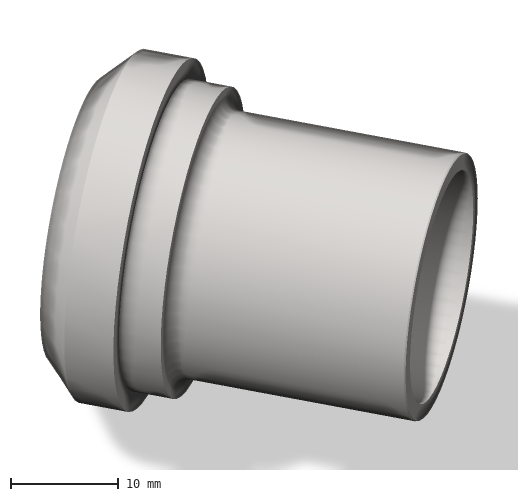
import cadquery as cq

length = 34.92
flange_end = 7.93
collar_end = 11.95

nose_diameter = 27.03
flange_diameter = 33.42
collar_diameter = 29.5
tube_diameter = 25.4
bore_diameter = 22.1

nose_length = (flange_diameter - nose_diameter) / 2
root_fillet = 1.2
end_bevel_length = 0.15
end_bevel_depth = 0.07

nose_radius = nose_diameter / 2
flange_radius = flange_diameter / 2
collar_radius = collar_diameter / 2
tube_radius = tube_diameter / 2
bore_radius = bore_diameter / 2

half_section = (
    cq.Workplane("XY")
    .moveTo(0, bore_radius)
    .lineTo(0, nose_radius)
    .lineTo(nose_length, flange_radius)
    .lineTo(flange_end, flange_radius)
    .lineTo(flange_end, collar_radius)
    .lineTo(collar_end, collar_radius)
    .lineTo(collar_end, tube_radius + root_fillet)
    .radiusArc((collar_end + root_fillet, tube_radius), -root_fillet)
    .lineTo(length - end_bevel_length, tube_radius)
    .lineTo(length, tube_radius - end_bevel_depth)
    .lineTo(length, bore_radius)
    .close()
)

result = half_section.revolve(360, (0, 0, 0), (1, 0, 0))